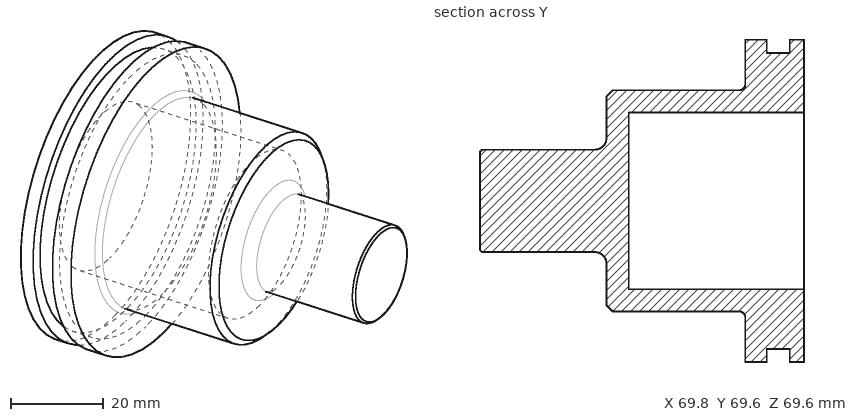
import cadquery as cq

flange_diameter = 69.6
groove_diameter = 63.9
body_diameter = 47.8
stem_diameter = 22.15
bore_diameter = 38.1

groove_start = 3.15
groove_end = 8.0
flange_end = 12.7
body_end = 42.6
total_length = 69.85

flange_fillet = 1.2
body_chamfer = 1.4
stem_fillet = 2.45
stem_chamfer = 0.5

wall = (body_diameter - bore_diameter) / 2
bore_depth = body_end - wall


def cylinder(diameter, start, end):
    """Solid cylinder about the X axis between two X positions."""
    return cq.Workplane("YZ", origin=(start, 0, 0)).circle(diameter / 2).extrude(end - start)


def root_fillet(diameter, shoulder, radius):
    """Concave ring blending a cylinder into the shoulder on its -X side."""
    inner = diameter / 2
    return (
        cq.Workplane("XY")
        .moveTo(shoulder, 0)
        .lineTo(shoulder, inner + radius)
        .radiusArc((shoulder + radius, inner), -radius)
        .lineTo(shoulder + radius, 0)
        .close()
        .revolve(360, (0, 0, 0), (1, 0, 0))
    )


flange = cylinder(flange_diameter, 0, flange_end)
groove = cylinder(flange_diameter, groove_start, groove_end).cut(
    cylinder(groove_diameter, groove_start, groove_end)
)
flange = flange.cut(groove)

body = cylinder(body_diameter, 0, body_end).faces(">X").chamfer(body_chamfer)
stem = cylinder(stem_diameter, bore_depth, total_length).faces(">X").chamfer(stem_chamfer)

result = (
    flange.union(body)
    .union(stem)
    .union(root_fillet(body_diameter, flange_end, flange_fillet))
    .union(root_fillet(stem_diameter, body_end, stem_fillet))
    .cut(cylinder(bore_diameter, 0, bore_depth))
)